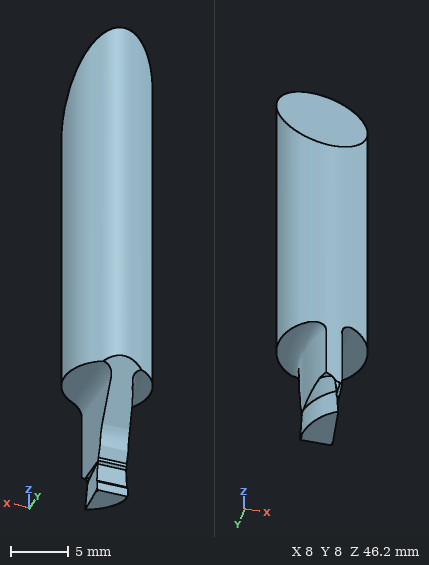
import cadquery as cq
import math

total_length = 46.2
shank_diameter = 8.0
shank_radius = shank_diameter / 2
end_slant_angle = 60.0
clear = shank_diameter

shoulder_z = 11.1
shoulder_fillet = 1.05
blade_left_x = -1.87
blade_right_x = 0.81
blade_curve_radius = 6.95
blade_curve_center_x = blade_left_x + blade_curve_radius

relief_angle = 30.0
relief_start_z = 11.8
relief_end_y = 0.9
relief_mid = (0.5, 5.35)
relief_foot = (0.393, 4.5)
relief_bottom_z = 3.4

tip_top_z = 3.1
side_flare = 0.15
front_flare = 0.3
land_depth = 0.55
nose_x = 0.35
nose_y = -3.65
nose_bulge = (-1.05, -2.25)
end_clearance_rise = 0.4
end_clearance_length = 3.9
corner_radius = 0.2
chip_groove_depth = 0.2
chip_lip_height = 0.9
chip_lip_ramp = 0.25

undercut_left = cq.Vector(-0.715, -3.9, 4.85)
undercut_right = cq.Vector(0.55, -3.93, 3.9)
undercut_back = cq.Vector(-1.85, -0.55, 3.2)
neck_height = 2.3
neck_taper = 22.0


def make_bar():
    """Round bar from the tip joint to the slanted upper end."""
    slant_rise = shank_diameter * math.tan(math.radians(end_slant_angle))
    bar = cq.Workplane("XY", origin=(0, 0, tip_top_z))
    bar = bar.circle(shank_radius).extrude(total_length - tip_top_z)
    slant = (
        cq.Workplane("YZ")
        .moveTo(-shank_radius, total_length - slant_rise)
        .lineTo(shank_radius, total_length)
        .lineTo(-shank_radius, total_length)
        .close()
        .extrude(clear, both=True)
    )
    return bar.cut(slant)


def shoulder_profile(wall, outward):
    """Waste area beside a blade wall, rounded where the wall meets the shoulder."""
    reach = wall + outward * 2 * clear
    round_offset = shoulder_fillet * (1 - math.sqrt(0.5))
    return (
        cq.Workplane("XZ")
        .moveTo(wall, 0)
        .lineTo(wall, shoulder_z - shoulder_fillet)
        .threePointArc(
            (wall + outward * round_offset, shoulder_z - round_offset),
            (wall + outward * shoulder_fillet, shoulder_z),
        )
        .lineTo(reach, shoulder_z)
        .lineTo(reach, 0)
        .close()
    )


def left_waste():
    """Waste outside the curved left wall, revolved about the wall's axis."""
    ring = shoulder_profile(-blade_curve_radius, -1).revolve(360, (0, 0), (0, 1))
    ring = ring.translate((blade_curve_center_x, 0, 0))
    left_half = cq.Workplane("XY").box(2 * clear, 4 * clear, 4 * clear)
    return ring.intersect(left_half.translate((blade_right_x - clear, 0, 0)))


def right_waste():
    """Waste outside the flat right wall."""
    return shoulder_profile(blade_right_x, 1).extrude(clear, both=True)


def back_relief():
    """Waste behind the sloping and hollowed back of the blade."""
    slope = math.tan(math.radians(relief_angle))
    relief_end_z = relief_start_z - (shank_radius - relief_end_y) / slope
    start_y = shank_radius + (shoulder_z - relief_start_z + clear) * slope
    return (
        cq.Workplane("YZ")
        .moveTo(start_y, shoulder_z + clear)
        .lineTo(relief_end_y, relief_end_z)
        .threePointArc(relief_mid, relief_foot)
        .lineTo(0, relief_bottom_z)
        .lineTo(0, 0)
        .lineTo(start_y, 0)
        .close()
        .extrude(clear, both=True)
    )


def tip_section(z, flare, nose_flare):
    """Closed tip outline at a height, widened on all sides but the rake face."""
    left = blade_left_x - flare
    right = blade_right_x + flare
    bulge = (nose_bulge[0] - flare, nose_bulge[1] - nose_flare)
    nose = (nose_x + flare, nose_y - nose_flare)
    return (
        cq.Workplane("XY", origin=(0, 0, z))
        .moveTo(right, 0)
        .lineTo(left, 0)
        .lineTo(left, -land_depth)
        .threePointArc(bulge, nose)
        .close()
    )


def undercut():
    """Waste below the sloping plane, leaving a tapered neck above the tip."""
    normal = (undercut_right - undercut_left).cross(undercut_back - undercut_left)
    if normal.z > 0:
        normal = -normal
    plane = cq.Plane(origin=undercut_left.toTuple(), normal=normal.toTuple())
    below = cq.Workplane(plane).rect(4 * clear, 4 * clear).extrude(clear)
    neck = tip_section(tip_top_z, 0, 0).extrude(neck_height, taper=-neck_taper)
    return below.cut(neck)


def make_holder():
    """Shank and blade, ending at the tip joint."""
    holder = make_bar()
    for waste in (left_waste(), right_waste(), back_relief(), undercut()):
        holder = holder.cut(waste)
    return holder


def make_tip():
    """Flared cutting tip below the joint."""
    lower = tip_section(0, side_flare, front_flare).wire().val()
    upper = tip_section(tip_top_z, 0, 0).wire().val()
    tip = cq.Workplane(cq.Solid.makeLoft([lower, upper], True))
    end_clearance = (
        cq.Workplane("YZ")
        .moveTo(0, 0)
        .lineTo(-end_clearance_length, end_clearance_rise)
        .lineTo(-clear, end_clearance_rise)
        .lineTo(-clear, 0)
        .close()
        .extrude(clear, both=True)
    )
    chip_groove = (
        cq.Workplane("YZ")
        .moveTo(0, chip_lip_height)
        .lineTo(-chip_groove_depth, chip_lip_height + chip_lip_ramp)
        .lineTo(-chip_groove_depth, tip_top_z - chip_lip_ramp)
        .lineTo(0, tip_top_z)
        .close()
        .extrude(clear, both=True)
    )
    rounded_envelope = (
        cq.Workplane("XZ")
        .moveTo((blade_left_x + blade_right_x) / 2, clear / 2)
        .rect(blade_right_x - blade_left_x + 2 * side_flare, clear)
        .extrude(clear)
        .faces("<Z")
        .edges("|Y")
        .fillet(corner_radius)
    )
    return tip.cut(end_clearance).cut(chip_groove).intersect(rounded_envelope)


holder = make_holder()
tip = make_tip()
result = cq.Compound.makeCompound([holder.val(), tip.val()])